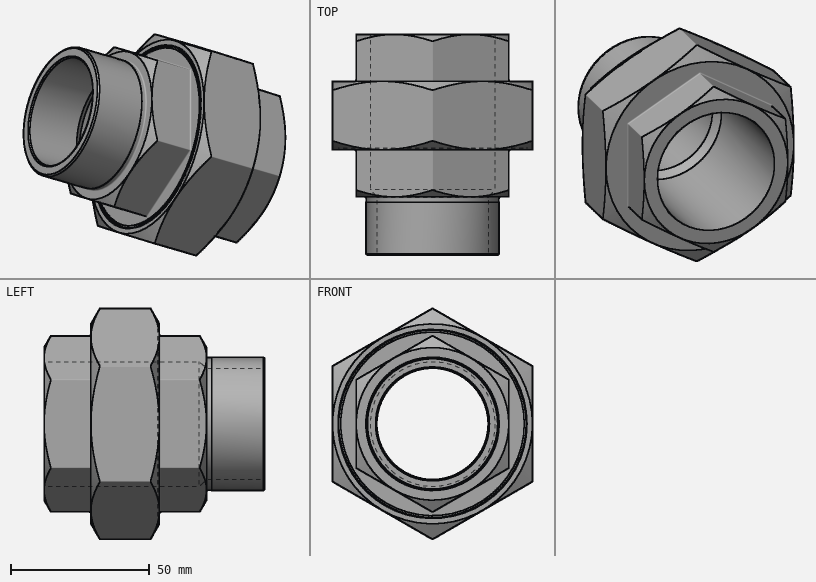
import cadquery as cq
import math

total_length = 79.5

nut_flats = 72.0
nut_front = 37.95
nut_width = 24.7

body_flats = 55.0
body_hex_front = 21.0
base_fillet = 0.5

hex_sides = 6
half_side_angle = 180.0 / hex_sides
corner_round = 0.3
hex_chamfer_angle = 30.0
flat_margin = 0.1

flange_face_diameter = 66.0
flange_diameter = 67.4
nut_opening_diameter = 68.0
shoulder_depth = 0.5
slit_depth = 0.8

pipe_diameter = 48.0
neck_diameter = 47.8
neck_front = 19.1
shoulder_fillet = 0.5
pipe_end_chamfer = 0.6

pipe_bore_diameter = 40.0
socket_bore_diameter = 44.85
bore_rim_chamfer = 0.5
bore_step_start = 20.9
bore_step_angle = 40.0

tolerance = 0.01

nut_back = nut_front + nut_width


def xz_plane(y):
    """Work plane at the given y, facing +Y."""
    return cq.Workplane(cq.Plane(origin=(0, y, 0), xDir=(-1, 0, 0), normal=(0, 1, 0)))


def hex_prism(flats, front, back):
    """Hexagonal prism along Y with flats facing +X and -X and lightly rounded corners."""
    corner_diameter = flats / math.cos(math.radians(half_side_angle))
    plane = xz_plane(front).transformed(rotate=(0, 0, half_side_angle))
    prism = plane.polygon(hex_sides, corner_diameter).extrude(back - front)
    return prism.edges("|Y").fillet(corner_round)


def turned(points):
    """Solid turned about the Y axis from (radius, y) points."""
    return cq.Workplane("XY").polyline(points).close().revolve(360, (0, 0, 0), (0, 1, 0))


def corner_cone(flats, face_y, direction):
    """Wide cone opening along direction (+1 or -1) from a hexagon face; trims the corners at that face."""
    face_radius = (flats - flat_margin) / 2
    cone_radius = face_radius + total_length / math.tan(math.radians(hex_chamfer_angle))
    far_y = face_y + direction * total_length
    return turned([(0, face_y), (face_radius, face_y), (cone_radius, far_y), (0, far_y)])


def fillet_hex_base(body, plane_y):
    """Fillet the short edges where a hexagon meets the flange plane at plane_y."""
    base_edges = body.edges().filter(
        lambda edge: abs(edge.BoundingBox().ymin - plane_y) < tolerance
        and edge.BoundingBox().ylen < tolerance
        and edge.Length() < body_flats
    )
    return base_edges.fillet(base_fillet)


def union_nut():
    nut = hex_prism(nut_flats, nut_front, nut_back)
    return nut.intersect(corner_cone(nut_flats, nut_front, 1)).intersect(corner_cone(nut_flats, nut_back, -1))


def body():
    """Both hexagons joined by the flange inside the nut."""
    hexes = hex_prism(body_flats, body_hex_front, total_length)
    hexes = hexes.intersect(corner_cone(body_flats, body_hex_front, 1))
    hexes = hexes.intersect(corner_cone(body_flats, total_length, -1))
    flange = xz_plane(nut_front).circle(flange_diameter / 2).extrude(nut_width)
    joined = hexes.union(flange)
    return fillet_hex_base(fillet_hex_base(joined, nut_front), nut_back)


def pipe_end():
    """Pipe with a chamfered end, a slightly slimmer neck and a concave fillet up to the hexagon face."""
    pipe_radius = pipe_diameter / 2
    neck_radius = neck_diameter / 2
    fillet_start = body_hex_front - shoulder_fillet
    arc_offset = shoulder_fillet * (1 - math.sqrt(0.5))
    profile = (
        cq.Workplane("XY")
        .moveTo(0, 0)
        .lineTo(pipe_radius - pipe_end_chamfer, 0)
        .lineTo(pipe_radius, pipe_end_chamfer)
        .lineTo(pipe_radius, neck_front)
        .lineTo(neck_radius, neck_front)
        .lineTo(neck_radius, fillet_start)
        .threePointArc(
            (neck_radius + arc_offset, body_hex_front - arc_offset),
            (neck_radius + shoulder_fillet, body_hex_front),
        )
        .lineTo(0, body_hex_front)
        .close()
    )
    return profile.revolve(360, (0, 0, 0), (0, 1, 0))


def ring_gap():
    """Narrow slit between nut and flange, with a shallow shoulder around the flange face."""
    face_radius = flange_face_diameter / 2
    flange_radius = flange_diameter / 2
    opening_radius = nut_opening_diameter / 2
    shoulder_y = nut_front + shoulder_depth
    slit_floor_y = nut_front + slit_depth
    return turned([
        (face_radius, nut_front),
        (opening_radius, nut_front),
        (opening_radius, slit_floor_y),
        (flange_radius, slit_floor_y),
        (flange_radius, shoulder_y),
        (face_radius, shoulder_y),
    ])


def bores():
    """Pipe bore with a chamfered rim, widening through a cone to the socket bore."""
    pipe_bore_radius = pipe_bore_diameter / 2
    socket_bore_radius = socket_bore_diameter / 2
    step_length = (socket_bore_radius - pipe_bore_radius) / math.tan(math.radians(bore_step_angle))
    return turned([
        (0, 0),
        (pipe_bore_radius + bore_rim_chamfer, 0),
        (pipe_bore_radius, bore_rim_chamfer),
        (pipe_bore_radius, bore_step_start),
        (socket_bore_radius, bore_step_start + step_length),
        (socket_bore_radius, total_length),
        (0, total_length),
    ])


result = union_nut().union(body()).union(pipe_end()).cut(ring_gap()).cut(bores())